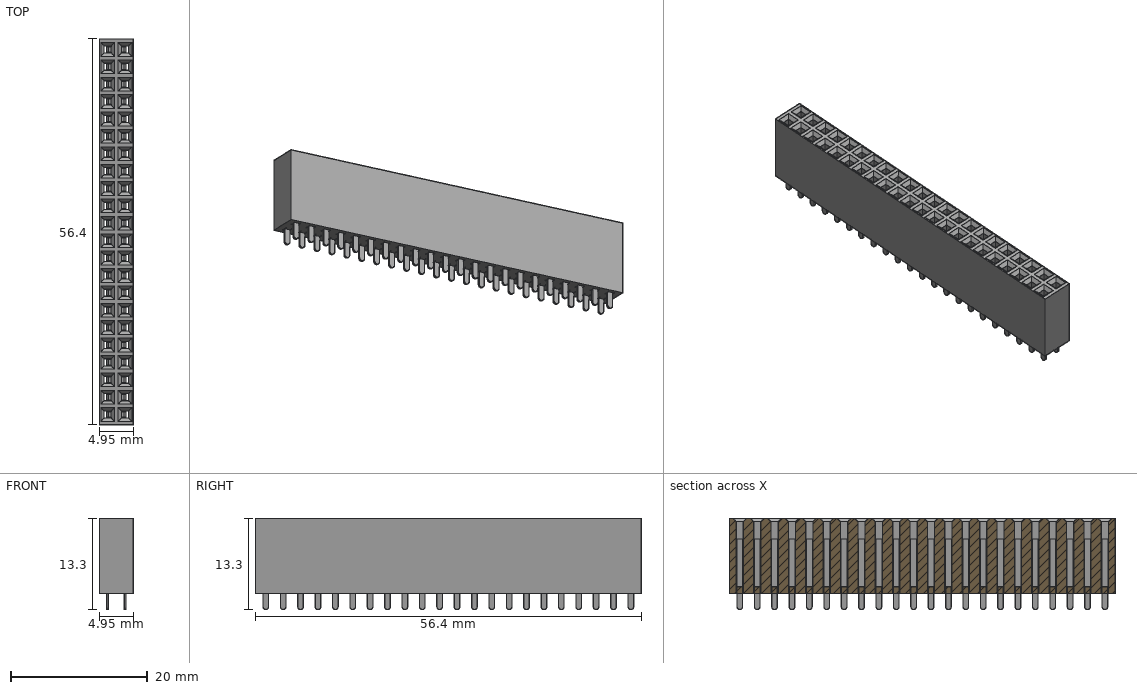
import cadquery as cq

body_width = 4.95
body_length = 56.39
overall_height = 13.34
pin_length = 2.34
body_height = overall_height - pin_length

pitch = 2.54
columns = 2
rows = 22

funnel_opening = 2.0
socket_hole = 1.0
funnel_depth = 0.5

contact_thickness = 0.3
contact_width = 0.85
leaf_height = 8.0
foot_height = 1.0
tip_height = contact_width / 2


def contact_positions():
    """Centres of all contacts in the XY plane."""
    return [
        ((column - (columns - 1) / 2) * pitch, (row - (rows - 1) / 2) * pitch)
        for column in range(columns)
        for row in range(rows)
    ]


def make_body():
    """Plain housing block standing on Z = 0."""
    return cq.Workplane("XY").box(body_width, body_length, body_height, centered=(True, True, False))


def make_socket():
    """Void of one socket, centred on the Z axis."""
    hole = cq.Workplane("XY").rect(socket_hole, socket_hole).extrude(body_height)
    funnel = (
        cq.Workplane("XY", origin=(0, 0, body_height - funnel_depth))
        .rect(socket_hole, socket_hole)
        .workplane(offset=funnel_depth)
        .rect(funnel_opening, funnel_opening)
        .loft(ruled=True)
    )
    return hole.union(funnel)


def make_contact(inward):
    """One contact centred on the Z axis; inward is +1 or -1, the X direction of its foot."""
    half_width = contact_width / 2
    shoulder = tip_height - pin_length
    blade = (
        cq.Workplane("YZ")
        .moveTo(-half_width, leaf_height)
        .lineTo(-half_width, shoulder)
        .threePointArc((0, -pin_length), (half_width, shoulder))
        .lineTo(half_width, leaf_height)
        .close()
        .extrude(contact_thickness / 2, both=True)
    )
    foot_length = socket_hole / 2
    foot = (
        cq.Workplane("XY")
        .center(inward * foot_length / 2, 0)
        .rect(foot_length, contact_width)
        .extrude(foot_height)
    )
    return blade.union(foot)


def copies(shape, positions):
    """Copies of a shape moved to each position."""
    solid = shape.val()
    return [solid.moved(cq.Location(cq.Vector(x, y, 0))) for x, y in positions]


positions = contact_positions()
left_positions = [(x, y) for x, y in positions if x < 0]
right_positions = [(x, y) for x, y in positions if x > 0]

housing = make_body().val().cut(*copies(make_socket(), positions))
contacts = copies(make_contact(1), left_positions) + copies(make_contact(-1), right_positions)
result = cq.Workplane("XY").newObject([housing.fuse(*contacts)])